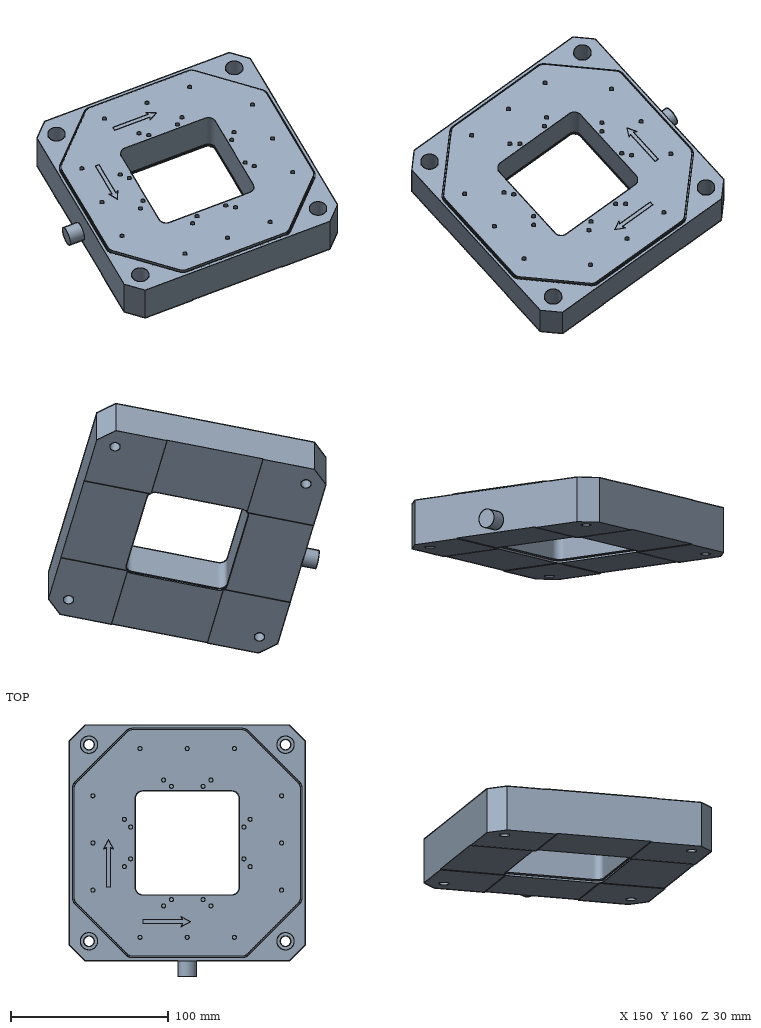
import cadquery as cq

body_side = 150.0
body_height = 29.0
body_chamfer = 10.0

total_height = 30.0
plate_side = 144.0
plate_chamfer = 35.2
plate_corner_radius = 5.0
gap_width = 1.0
gap_depth = 1.0

window_side = 66.0
window_corner_radius = 5.0

window_groove_bottom = 1.8
window_groove_height = 1.0
window_groove_depth = 3.0

relief_width = 62.7
relief_depth = 0.5

mount_pitch = 125.0
mount_diameter = 6.5
counterbore_diameter = 11.0
counterbore_depth = 20.0

plate_hole_diameter = 2.5
plate_hole_depth = 8.0
outer_row_offset = 60.0
outer_row_spacing = outer_row_offset / 2
inner_pairs = [(40.0, 15.0), (36.0, 10.0)]

stub_diameter = 12.0
stub_length = 10.0
stub_height = 8.2

arrow_length = 30.0
arrow_shaft_width = 2.5
arrow_head_length = 6.0
arrow_head_width = 6.4
arrow_barb_sweep = 1.0
arrow_offset = 50.0
arrow_tail = 28.0
arrow_depth = 0.2


def octagon(side, chamfer, bottom, top, corner_radius=0):
    """Upright square prism with cut corners, its vertical edges optionally rounded."""
    prism = cq.Workplane("XY").workplane(offset=bottom).rect(side, side).extrude(top - bottom)
    prism = prism.edges("|Z").chamfer(chamfer)
    if corner_radius:
        prism = prism.edges("|Z").fillet(corner_radius)
    return prism


def make_body():
    """Cut-corner block with the plate standing in a gap-width recess."""
    body = octagon(body_side, body_chamfer, 0, body_height)
    floor = body_height - gap_depth
    recess_chamfer = plate_chamfer + (2 - 2 ** 0.5) * gap_width
    recess = octagon(
        plate_side + 2 * gap_width,
        recess_chamfer,
        floor,
        total_height,
        plate_corner_radius + gap_width,
    )
    plate = octagon(plate_side, plate_chamfer, floor, total_height, plate_corner_radius)
    return body.cut(recess).union(plate)


def make_stub():
    return (
        cq.Workplane("XZ", origin=(0, -body_side / 2, stub_height))
        .circle(stub_diameter / 2)
        .extrude(stub_length)
    )


def make_window():
    """Rounded window through the whole part, widened by the groove in its wall."""
    window = cq.Workplane("XY").rect(window_side, window_side).extrude(total_height)
    window = window.edges("|Z").fillet(window_corner_radius)
    groove_side = window_side + 2 * window_groove_depth
    groove = (
        cq.Workplane("XY")
        .workplane(offset=window_groove_bottom)
        .rect(groove_side, groove_side)
        .extrude(window_groove_height)
        .edges("|Z")
        .fillet(window_corner_radius + window_groove_depth)
    )
    return window.union(groove)


def make_relief():
    along_x = cq.Workplane("XY").rect(body_side, relief_width).extrude(relief_depth)
    along_y = cq.Workplane("XY").rect(relief_width, body_side).extrude(relief_depth)
    return along_x.union(along_y)


def plate_hole_points():
    """Hole centres for one side of the window, repeated on all four sides."""
    one_side = [(outer_row_offset, step * outer_row_spacing) for step in (-1, 0, 1)]
    for distance, sideways in inner_pairs:
        one_side += [(distance, sideways), (distance, -sideways)]
    points = []
    for along, across in one_side:
        points += [(along, across), (-along, across), (across, along), (across, -along)]
    return points


def make_plate_holes():
    return (
        cq.Workplane("XY")
        .workplane(offset=total_height)
        .pushPoints(plate_hole_points())
        .circle(plate_hole_diameter / 2)
        .extrude(-plate_hole_depth)
    )


def make_mounting_holes():
    """Through holes with deep counterbores opening at the top of the body."""
    centres = cq.Workplane("XY").rect(mount_pitch, mount_pitch, forConstruction=True).vertices()
    holes = centres.circle(mount_diameter / 2).extrude(body_height)
    top_centres = (
        cq.Workplane("XY")
        .workplane(offset=body_height)
        .rect(mount_pitch, mount_pitch, forConstruction=True)
        .vertices()
    )
    return holes.union(top_centres.circle(counterbore_diameter / 2).extrude(-counterbore_depth))


def make_arrow():
    """Arrow pointing along +X, starting at the tail."""
    shaft_end = arrow_length - arrow_head_length + arrow_barb_sweep
    half_shaft = arrow_shaft_width / 2
    half_head = arrow_head_width / 2
    return (
        cq.Workplane("XY")
        .workplane(offset=total_height)
        .moveTo(0, -half_shaft)
        .lineTo(shaft_end, -half_shaft)
        .lineTo(arrow_length - arrow_head_length, -half_head)
        .lineTo(arrow_length, 0)
        .lineTo(arrow_length - arrow_head_length, half_head)
        .lineTo(shaft_end, half_shaft)
        .lineTo(0, half_shaft)
        .close()
        .extrude(-arrow_depth)
    )


x_arrow = make_arrow().translate((-arrow_tail, -arrow_offset, 0))
y_arrow = make_arrow().rotate((0, 0, 0), (0, 0, 1), 90).translate((-arrow_offset, -arrow_tail, 0))

result = (
    make_body()
    .union(make_stub())
    .cut(make_window())
    .cut(make_relief())
    .cut(make_mounting_holes())
    .cut(make_plate_holes())
    .cut(x_arrow)
    .cut(y_arrow)
)